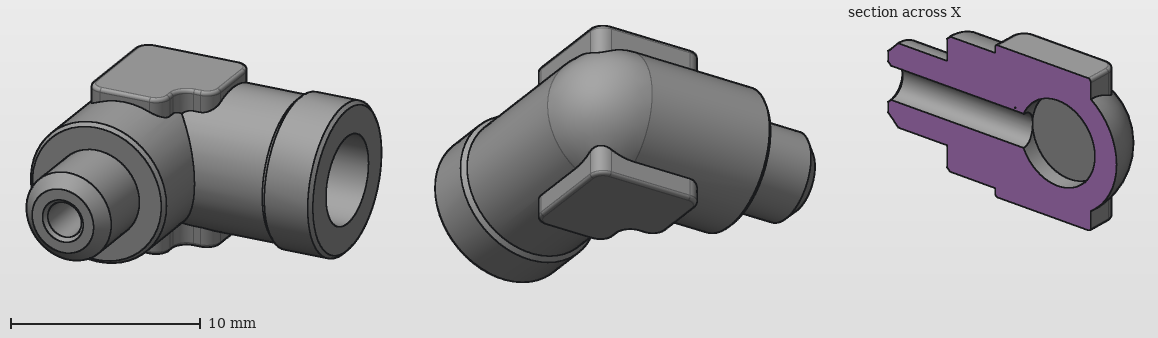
import cadquery as cq

overall_length = 15.75
body_radius = 4.0
edge_break = 0.2

socket_end = 11.0
collar_radius = 4.25
collar_start = 7.97
collar_back_chamfer = 0.27
socket_bore_radius = 2.5

shoulder_distance = 7.5
stub_end = overall_length - collar_radius
stub_radius = 2.5
stub_chamfer = 0.7
stub_bore_radius = 1.0

pad_height = 9.0
pad_near = 2.25
pad_far = 4.25
pad_corner_radius = 0.8


def arm(plane, radius, length):
    """Solid cylinder from the origin along the plane normal."""
    return cq.Workplane(plane).circle(radius).extrude(length)


def elbow_body():
    ball = cq.Workplane("XY").sphere(body_radius)
    socket_arm = arm("YZ", body_radius, socket_end)
    stub_arm = arm("XZ", body_radius, shoulder_distance).faces("<Y").chamfer(edge_break)
    return ball.union(socket_arm).union(stub_arm)


def collar():
    ring = cq.Workplane("YZ", origin=(collar_start, 0, 0))
    ring = ring.circle(collar_radius).extrude(socket_end - collar_start)
    ring = ring.faces("<X").chamfer(collar_back_chamfer)
    return ring.faces(">X").chamfer(edge_break)


def stub():
    return arm("XZ", stub_radius, stub_end).faces("<Y").chamfer(stub_chamfer)


def wrench_pads():
    """L-shaped block through the elbow whose two ends form the pads."""
    outline = [
        (-pad_near, pad_near),
        (pad_far, pad_near),
        (pad_far, -pad_near),
        (pad_near, -pad_near),
        (pad_near, -pad_far),
        (-pad_near, -pad_far),
    ]
    block = cq.Workplane("XY").polyline(outline).close().extrude(pad_height / 2, both=True)
    block = block.edges("|Z").fillet(pad_corner_radius)
    return block.faces("<Z or >Z").edges().fillet(edge_break)


def bores():
    """Socket bore running just past the stub bore, and the stub bore with a flared mouth."""
    socket_bore = cq.Workplane("YZ", origin=(-stub_bore_radius, 0, 0))
    socket_bore = socket_bore.circle(socket_bore_radius).extrude(socket_end + stub_bore_radius)
    mouth = cq.Workplane("XZ", origin=(0, -stub_end, 0)).circle(stub_bore_radius + edge_break)
    mouth = mouth.extrude(-edge_break, taper=45)
    return socket_bore.union(arm("XZ", stub_bore_radius, stub_end)).union(mouth)


result = elbow_body().union(collar()).union(stub()).union(wrench_pads()).cut(bores())